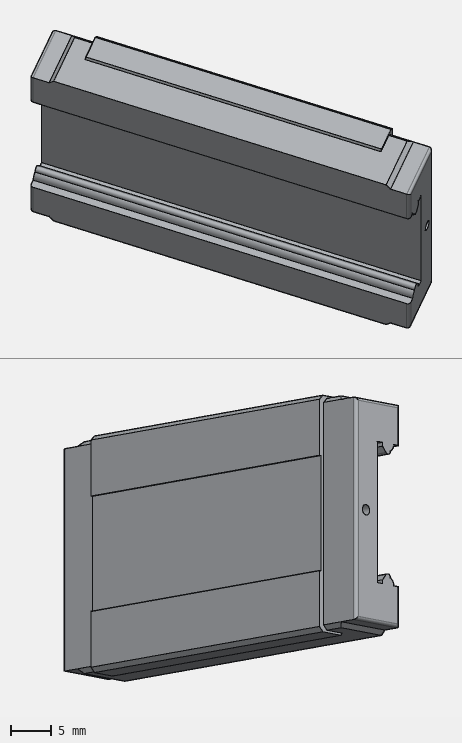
import cadquery as cq
import math

LENGTH = 50.7
HEIGHT = 8.6
WIDTH = 30.0
FRONT_Y = -HEIGHT / 2

BLOCK_LENGTH = 39.5
BLOCK_EDGE_CHAMFER = 0.6
RELIEF_DEPTH = 0.27
RELIEF_WIDTH = 14.6
FLANK_WIDTH = 29.4
FLANK_HEIGHT = 4.55
FLANK_BLEND_HEIGHT = 0.2

CAP_HEIGHT = 7.85
CAP_STEP = 0.6
CAP_END_WIDTH = FLANK_WIDTH - 2 * CAP_STEP
CAP_STEP_INSET = 2.55
CAP_END_FILLET = 0.4

CHANNEL_WIDTH = 17.9
CHANNEL_DEPTH = 3.95

RIB_FRONT_DEPTH = 1.03
RIB_BACK_DEPTH = 3.08
RIB_TIP_DEPTH = 2.12
RIB_TIP_RISE = 1.37
RIB_TIP_RADIUS = 0.46
RIB_BACK_SLOPE = math.radians(50)
RIB_FRONT_SAGITTA = 0.15

HOLE_DIAMETER = 1.3
HOLE_FROM_FRONT = 6.05
HOLE_DEPTH = (LENGTH - BLOCK_LENGTH) / 2


def y_at(distance_from_front):
    """Y coordinate of a point at the given distance behind the front face."""
    return FRONT_Y + distance_from_front


def section(length):
    """YZ sketch plane at the start of a centred extrusion of the given length."""
    return cq.Workplane("YZ", origin=(-length / 2, 0, 0))


def slab(length, height, width):
    """Rectangular bar resting on the front plane and centred in X and Z."""
    return cq.Workplane("XY").box(length, height, width).translate((0, y_at(height / 2), 0))


def make_block():
    """Steel block: wide back, narrower front flanks and a shallow relief along its back."""
    half_wide = WIDTH / 2
    half_flank = FLANK_WIDTH / 2
    back = y_at(HEIGHT)
    block = (
        section(BLOCK_LENGTH)
        .moveTo(FRONT_Y, -half_flank)
        .lineTo(y_at(FLANK_HEIGHT), -half_flank)
        .lineTo(y_at(FLANK_HEIGHT + FLANK_BLEND_HEIGHT), -half_wide)
        .lineTo(back - BLOCK_EDGE_CHAMFER, -half_wide)
        .lineTo(back, -half_wide + BLOCK_EDGE_CHAMFER)
        .lineTo(back, half_wide - BLOCK_EDGE_CHAMFER)
        .lineTo(back - BLOCK_EDGE_CHAMFER, half_wide)
        .lineTo(y_at(FLANK_HEIGHT + FLANK_BLEND_HEIGHT), half_wide)
        .lineTo(y_at(FLANK_HEIGHT), half_flank)
        .lineTo(FRONT_Y, half_flank)
        .close()
        .extrude(BLOCK_LENGTH)
    )
    relief = cq.Workplane("XY").box(BLOCK_LENGTH, 2 * RELIEF_DEPTH, RELIEF_WIDTH).translate((0, back, 0))
    return block.cut(relief)


def make_caps():
    """Both end caps as one bar: narrow ends with rounded rims and a raised middle with sloped borders."""
    ends = slab(LENGTH, CAP_HEIGHT, CAP_END_WIDTH)
    ends = ends.faces("<X or >X").edges().fillet(CAP_END_FILLET)
    middle = slab(LENGTH - 2 * CAP_STEP_INSET, CAP_HEIGHT, FLANK_WIDTH)
    outer_edges = middle.faces("<Z or >Z").edges("|Y or (>Y and |X)")
    return ends.union(outer_edges.chamfer(CAP_STEP))


def make_channel():
    """Rail channel through the full length."""
    return slab(LENGTH, CHANNEL_DEPTH, CHANNEL_WIDTH)


def make_rib():
    """Rib on the +Z channel wall: a rounded front lobe, a round tip and a straight sloped back."""
    wall = CHANNEL_WIDTH / 2
    tip_center_rise = RIB_TIP_RISE - RIB_TIP_RADIUS
    tangent_depth = RIB_TIP_DEPTH + RIB_TIP_RADIUS * math.sin(RIB_BACK_SLOPE)
    tangent_rise = tip_center_rise + RIB_TIP_RADIUS * math.cos(RIB_BACK_SLOPE)
    back_rise = tangent_rise - (RIB_BACK_DEPTH - tangent_depth) * math.tan(RIB_BACK_SLOPE)

    shoulder = (y_at(RIB_TIP_DEPTH - RIB_TIP_RADIUS), wall - tip_center_rise)
    tip = (y_at(RIB_TIP_DEPTH), wall - RIB_TIP_RISE)
    tangent_point = (y_at(tangent_depth), wall - tangent_rise)
    return (
        section(LENGTH)
        .moveTo(y_at(RIB_FRONT_DEPTH), wall)
        .sagittaArc(shoulder, -RIB_FRONT_SAGITTA)
        .threePointArc(tip, tangent_point)
        .lineTo(y_at(RIB_BACK_DEPTH), wall - back_rise)
        .lineTo(y_at(RIB_BACK_DEPTH), wall)
        .close()
        .extrude(LENGTH)
    )


def make_holes():
    """Lubrication holes entering both ends."""
    hole = (
        section(LENGTH)
        .center(y_at(HOLE_FROM_FRONT), 0)
        .circle(HOLE_DIAMETER / 2)
        .extrude(HOLE_DEPTH)
    )
    return hole.union(hole.mirror("YZ"))


rib = make_rib()
body = make_block().union(make_caps()).cut(make_channel())
body = body.union(rib).union(rib.mirror("XY"))
result = body.cut(make_holes())